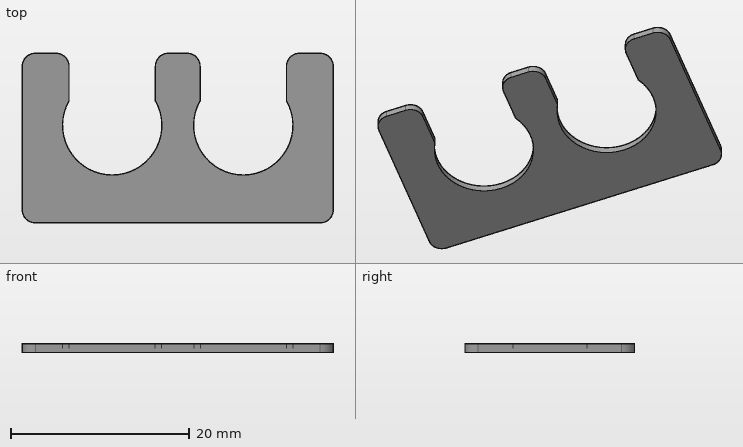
import cadquery as cq

length = 34.92
width = 19.05
thickness = 1.0
corner_radius = 1.5

seat_diameter = 11.11
seat_spacing = 14.7
seat_from_back_edge = 8.1
entry_width = 9.65

seat_y = width / 2 - seat_from_back_edge
seat_positions = [(-seat_spacing / 2, seat_y), (seat_spacing / 2, seat_y)]


def make_plate():
    """Flat rectangular plate, centred in X and Y, resting on Z = 0."""
    return cq.Workplane("XY").box(length, width, thickness, centered=(True, True, False))


def cut_entries(plate):
    """Cut the straight slots from the seat centres out through the +Y edge."""
    entry_y = seat_y + seat_from_back_edge / 2
    entries = (
        cq.Workplane("XY")
        .pushPoints([(x, entry_y) for x, _ in seat_positions])
        .rect(entry_width, seat_from_back_edge)
        .extrude(thickness)
    )
    return plate.cut(entries)


def round_corners(plate):
    """Round the outer plate corners and the free ends of the three fingers."""
    back_corners = plate.faces(">Y").edges("|Z")
    front_corners = plate.faces("<Y").edges("|Z")
    return plate.newObject(back_corners.vals() + front_corners.vals()).fillet(corner_radius)


def cut_seats(plate):
    """Cut the round seats at the inner ends of the entry slots."""
    seats = (
        cq.Workplane("XY")
        .pushPoints(seat_positions)
        .circle(seat_diameter / 2)
        .extrude(thickness)
    )
    return plate.cut(seats)


result = cut_seats(round_corners(cut_entries(make_plate())))